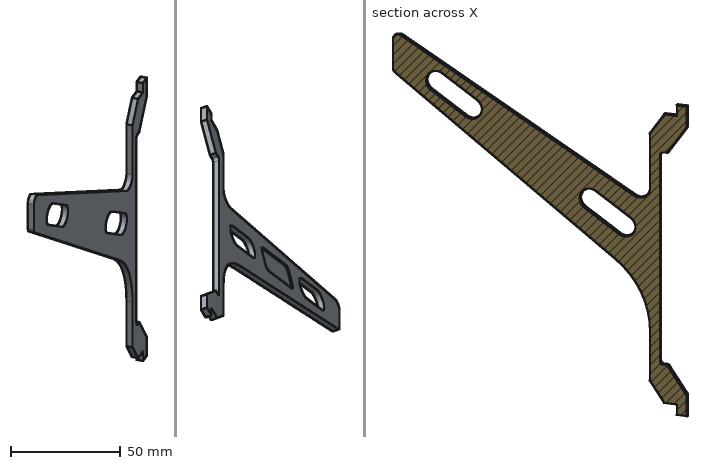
import cadquery as cq
import math

thickness = 3.0
reach = 143.5
arm_top = 168.1
spine_height = 150.0
spine_width = 5.0
spine_back = 13.1
spine_front = spine_back + spine_width

tab_size = 5.0
hook_shoulder = 11.1
hook_front_depth = 15.1
hook_back_depth = 10.1
hook_heel = 9.5
hook_shelf_depth = 23.7
shelf_fillet = 1.3

arm_root_bottom = 59.8
arm_tip_bottom = 150.3
upper_fillet = 5.0
lower_fillet = 40.0
tip_fillet = 3.0
upper_angle = math.radians(29.4)
tip_rounding_drop = tip_fillet * (math.tan(upper_angle) + 1 / math.cos(upper_angle) - 1)
arm_tip_top = arm_top + tip_rounding_drop
arm_root_top = arm_tip_top - (reach - spine_front) * math.tan(upper_angle)

opening_angle = 32.7
opening_centre = (76.2, 118.0)
slot_spacing = 89.0
slot_width = 10.1
slot_length = 20.0 + slot_width
recess_length = 35.0
recess_width = 12.0
recess_corner = 3.0
recess_depth = 0.7


def hook_points(end, inward):
    """Hook outline from its shelf at the spine round to the spine front, as (reach, height)."""
    profile = [
        (spine_back, hook_shelf_depth),
        (hook_heel, hook_shelf_depth),
        (0, hook_back_depth),
        (0, 0),
        (tab_size, 0),
        (tab_size, tab_size),
        (hook_shoulder, tab_size),
        (spine_front, hook_front_depth),
    ]
    return [(out, end + inward * depth) for out, depth in profile]


def round_edges(body, points, radius):
    """Fillet the edges through the thickness at the given outline corners."""
    for out, height in points:
        corner = cq.selectors.NearestToPointSelector((thickness / 2, -out, height))
        body = body.edges("|X").edges(corner).fillet(radius)
    return body


def make_plate():
    lower_hook = hook_points(0, 1)
    upper_hook = hook_points(spine_height, -1)
    arm = [
        (spine_front, arm_root_bottom),
        (reach, arm_tip_bottom),
        (reach, arm_tip_top),
        (spine_front, arm_root_top),
    ]
    outline = lower_hook + arm + upper_hook[::-1]
    plate = cq.Workplane("YZ").polyline([(-out, height) for out, height in outline]).close()
    plate = plate.extrude(thickness)
    plate = round_edges(plate, [arm[0]], lower_fillet)
    plate = round_edges(plate, arm[1:3], tip_fillet)
    plate = round_edges(plate, [arm[3]], upper_fillet)
    return round_edges(plate, [lower_hook[0], upper_hook[0]], shelf_fillet)


def arm_plane():
    """Plane on the -X face, with its local x axis pointing up the arm to the tip."""
    slope = math.radians(opening_angle)
    out, height = opening_centre
    return cq.Plane(
        origin=(0, -out, height),
        xDir=(0, -math.cos(slope), math.sin(slope)),
        normal=(1, 0, 0),
    )


slots = (
    cq.Workplane(arm_plane())
    .pushPoints([(-slot_spacing / 2, 0), (slot_spacing / 2, 0)])
    .slot2D(slot_length, slot_width)
    .extrude(thickness)
)
recess = (
    cq.Workplane(arm_plane())
    .rect(recess_length, recess_width)
    .extrude(recess_depth)
    .edges("|X")
    .fillet(recess_corner)
)
result = make_plate().cut(slots).cut(recess)